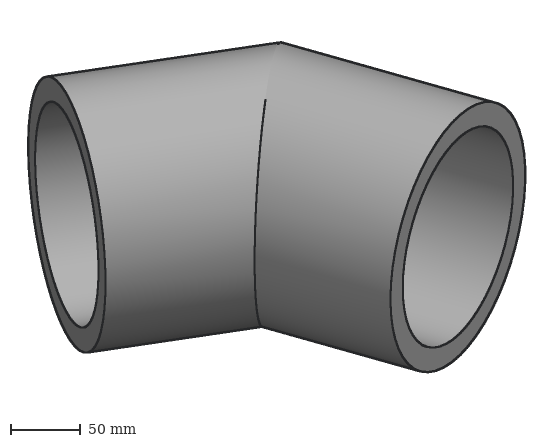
import cadquery as cq
import math

overall_length = 331.0
outer_diameter = 199.8
wall = 18.2
bend_angle = 45.0

outer_radius = outer_diameter / 2
inner_radius = outer_radius - wall
bend = math.radians(bend_angle)

leg_length = (overall_length - outer_radius * math.sin(bend)) / (1 + math.cos(bend))

inlet_center = (0, -leg_length)
outlet_center = (leg_length * math.sin(bend), leg_length * math.cos(bend))


def mitred_rod(radius):
    """Sweep a disc along the bent axis, with a sharp mitre at the bend."""
    axis = cq.Workplane("XY").polyline([inlet_center, (0, 0), outlet_center])
    return (
        cq.Workplane("XZ", origin=(0, -leg_length, 0))
        .circle(radius)
        .sweep(axis, transition="right")
    )


result = mitred_rod(outer_radius).cut(mitred_rod(inner_radius))